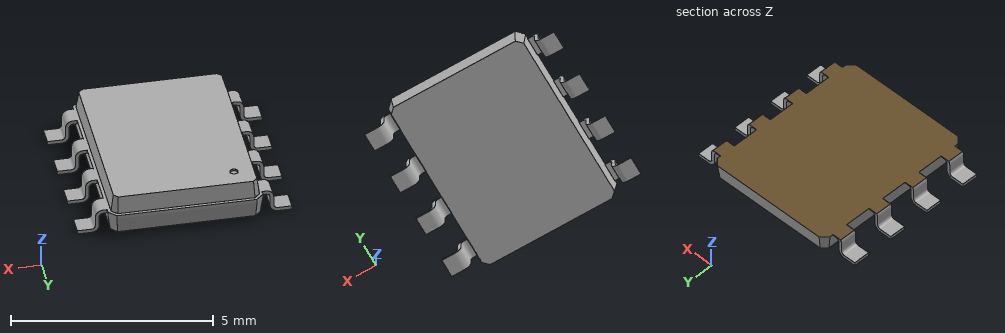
import cadquery as cq
import math


span_x = 5.4
body_length = 4.9
height = 1.1

lead_thickness = 0.1
lead_width = 0.495
lead_pitch = 1.27
leads_per_side = 4
bend_inner_radius = 0.0945
bend_outer_radius = bend_inner_radius + lead_thickness
riser_outer_x = 2.245
riser_inner_x = riser_outer_x - lead_thickness
lead_root_x = 1.62

body_width = 3.9
corner_chamfer = 0.19
rim_ledge = 0.08
draft_angle = 8.0
body_bottom_z = lead_thickness
rim_top_z = 0.64
rim_bottom_z = rim_top_z - lead_thickness

mark_diameter = 0.2
mark_depth = 0.05
mark_x = -1.305
mark_y = 1.81


def body_outline(z, inset):
    """Rectangle with chamfered corners at height z, its sides all moved inward by inset."""
    leg = corner_chamfer - inset * (2 - math.sqrt(2))
    x = body_width / 2 - inset
    y = body_length / 2 - inset
    return cq.Workplane("XY", origin=(0, 0, z)).polyline([
        (x - leg, y), (x, y - leg), (x, leg - y), (x - leg, -y),
        (leg - x, -y), (-x, leg - y), (-x, y - leg), (leg - x, y),
    ]).close()


def make_body():
    """Straight-sided rim between a drafted lower half and a stepped-in drafted upper half."""
    rim = body_outline(rim_bottom_z, 0).extrude(lead_thickness)
    lower = body_outline(rim_bottom_z, 0).extrude(body_bottom_z - rim_bottom_z, taper=draft_angle)
    upper = body_outline(rim_top_z, rim_ledge).extrude(height - rim_top_z, taper=draft_angle)
    return rim.union(lower).union(upper)


def make_lead(y):
    """Gull-wing lead on the +X side, centred at the given y, with its root inside the body."""
    diagonal = math.sqrt(0.5)
    upper_centre_x = riser_outer_x - bend_outer_radius
    upper_centre_z = rim_top_z - bend_outer_radius
    lower_centre_x = riser_inner_x + bend_outer_radius
    lower_centre_z = bend_outer_radius

    def upper_mid(radius):
        return (upper_centre_x + radius * diagonal, upper_centre_z + radius * diagonal)

    def lower_mid(radius):
        return (lower_centre_x - radius * diagonal, lower_centre_z - radius * diagonal)

    profile = (
        cq.Workplane("XZ", origin=(0, y + lead_width / 2, 0))
        .moveTo(lead_root_x, rim_top_z)
        .lineTo(upper_centre_x, rim_top_z)
        .threePointArc(upper_mid(bend_outer_radius), (riser_outer_x, upper_centre_z))
        .lineTo(riser_outer_x, lower_centre_z)
        .threePointArc(lower_mid(bend_inner_radius), (lower_centre_x, lead_thickness))
        .lineTo(span_x / 2, lead_thickness)
        .lineTo(span_x / 2, 0)
        .lineTo(lower_centre_x, 0)
        .threePointArc(lower_mid(bend_outer_radius), (riser_inner_x, lower_centre_z))
        .lineTo(riser_inner_x, upper_centre_z)
        .threePointArc(upper_mid(bend_inner_radius), (upper_centre_x, rim_bottom_z))
        .lineTo(lead_root_x, rim_bottom_z)
        .close()
    )
    return profile.extrude(lead_width)


result = make_body()

first_lead_y = -lead_pitch * (leads_per_side - 1) / 2
for index in range(leads_per_side):
    lead = make_lead(first_lead_y + index * lead_pitch)
    result = result.union(lead).union(lead.mirror("YZ"))

mark = (
    cq.Workplane("XY", origin=(mark_x, mark_y, height - mark_depth))
    .circle(mark_diameter / 2)
    .extrude(mark_depth)
)
result = result.cut(mark)